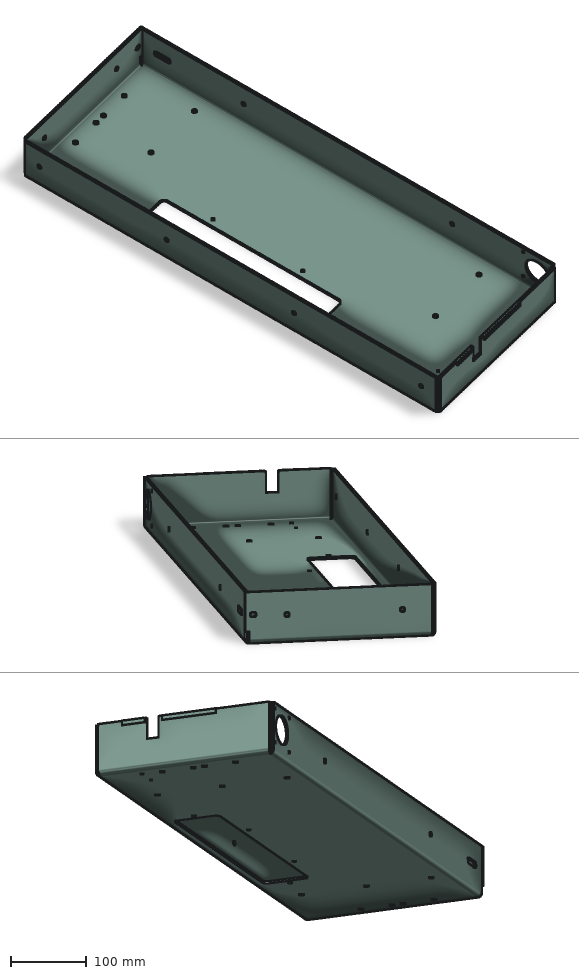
import cadquery as cq

overall_length = 698.0
width = 257.0
height = 71.0
sheet = 3.15
bend_radius = 7.0
corner_notch_x = 5.0
corner_notch_y = 5.25

pad_thickness = 1.05
pad_height = 6.0
pad_spans = [(-88.5, -56.0), (-31.0, 47.0)]

length = overall_length - pad_thickness
half_length = length / 2
half_width = width / 2

cable_notch_y = -45.0
cable_notch_width = 17.0
cable_notch_mouth_radius = 2.0
cable_notch_floor = 42.0

tab_bottom = 17.5

window_length = 300.0
window_width = 65.0
window_radius = 7.0
window_center = (-25.0, -79.5)

mount_diameter = 6.0
mount_x = 238.0
mount_pitch_y = 93.5
mount_center_y = 8.0
side_hole_x = 328.0
side_hole_center_y = 13.0
side_pair_pitch = 61.0
side_pair_spacing = 45.0
window_side_diameter = 5.25
window_side_clearance = 9.0
window_side_y = -79.0
window_back_diameter = 4.0
window_back_pitch = 150.0
window_back_y = -36.0
ground_holes = [(301.0, 3.0), (331.0, 4.0)]
ground_y = -68.0

wall_hole_diameter = 6.0
wall_hole_z = 38.5
front_hole_count = 4
front_hole_pitch = 213.0
back_hole_x = 174.5
end_hole_spacing = 156.0
end_hole_center_y = -5.5
tab_hole_length = 8.5
tab_hole_height = 6.0
tab_hole_from_back = 10.5
tab_hole_z = 40.5

slot_length = 28.0
slot_height = 8.5
slot_x = -310.5
fan_x = 317.0
fan_z = 40.0
fan_diameter = 40.0
fan_screw_pitch = 47.5
fan_screw_diameter = 3.5


def block(x_span, y_span, z_span):
    """Box between the given (low, high) limits along each axis."""
    size = [high - low for low, high in (x_span, y_span, z_span)]
    corner = (x_span[0], y_span[0], z_span[0])
    return cq.Workplane("XY").box(*size, centered=False).translate(corner)


def floor_holes(points, diameter):
    return cq.Workplane("XY").pushPoints(points).circle(diameter / 2).extrude(sheet)


def wall_y(side):
    """Sketch plane at the middle of the +Y or -Y wall, drawn in X and Z."""
    return cq.Workplane("XZ", origin=(0, side * (half_width - sheet / 2), 0))


def wall_x(side):
    """Sketch plane at the middle of the +X or -X wall, drawn in Y and Z."""
    return cq.Workplane("YZ", origin=(side * (half_length - sheet / 2), 0, 0))


def folded_tray():
    outside = cq.Workplane("XY").box(length, width, height, centered=(True, True, False))
    outside = outside.faces("<Z").edges().fillet(bend_radius)
    inside = (
        cq.Workplane("XY", origin=(0, 0, sheet))
        .box(length - 2 * sheet, width - 2 * sheet, height, centered=(True, True, False))
        .faces("<Z").edges().fillet(bend_radius - sheet)
    )
    notches = (
        cq.Workplane("XY")
        .rect(length - corner_notch_x, width - corner_notch_y, forConstruction=True)
        .vertices()
        .rect(corner_notch_x, corner_notch_y)
        .extrude(height)
    )
    return outside.cut(inside).cut(notches)


def overlap_tab():
    return block(
        (-half_length, -half_length + sheet),
        (half_width - 2 * corner_notch_y, half_width),
        (tab_bottom, height),
    )


def cut_floor(body):
    window = (
        cq.Workplane("XY").center(*window_center)
        .rect(window_length, window_width).extrude(sheet)
        .edges("|Z").fillet(window_radius)
    )
    mounts = [
        (x, mount_center_y + row * mount_pitch_y)
        for x in (-mount_x, mount_x) for row in (-1, 0, 1)
    ]
    side_holes = [
        (x, side_hole_center_y + pair * side_pair_pitch / 2 + hole * side_pair_spacing / 2)
        for x in (-side_hole_x, side_hole_x) for pair in (-1, 1) for hole in (-1, 1)
    ]
    window_side_x = window_length / 2 + window_side_clearance
    window_sides = [(window_center[0] + side * window_side_x, window_side_y) for side in (-1, 1)]
    window_backs = [
        (window_center[0] + side * window_back_pitch / 2, window_back_y) for side in (-1, 1)
    ]
    body = body.cut(window)
    body = body.cut(floor_holes(mounts + side_holes, mount_diameter))
    body = body.cut(floor_holes(window_sides, window_side_diameter))
    body = body.cut(floor_holes(window_backs, window_back_diameter))
    for x, diameter in ground_holes:
        body = body.cut(floor_holes([(x, ground_y)], diameter))
    return body


def cut_front_wall(body):
    first_x = -(front_hole_count - 1) * front_hole_pitch / 2
    points = [(first_x + i * front_hole_pitch, wall_hole_z) for i in range(front_hole_count)]
    holes = wall_y(-1).pushPoints(points).circle(wall_hole_diameter / 2)
    return body.cut(holes.extrude(sheet, both=True))


def cut_back_wall(body):
    points = [(-back_hole_x, wall_hole_z), (back_hole_x, wall_hole_z)]
    holes = wall_y(1).pushPoints(points).circle(wall_hole_diameter / 2)
    slot = wall_y(1).center(slot_x, wall_hole_z).slot2D(slot_length, slot_height)
    fan = wall_y(1).center(fan_x, fan_z).circle(fan_diameter / 2)
    screws = (
        wall_y(1).center(fan_x, fan_z)
        .rect(fan_screw_pitch, fan_screw_pitch, forConstruction=True)
        .vertices().circle(fan_screw_diameter / 2)
    )
    for outline in (holes, slot, fan, screws):
        body = body.cut(outline.extrude(sheet, both=True))
    return body


def cut_left_wall(body):
    points = [(end_hole_center_y + side * end_hole_spacing / 2, wall_hole_z) for side in (-1, 1)]
    holes = wall_x(-1).pushPoints(points).circle(wall_hole_diameter / 2)
    tab_hole = (
        wall_x(-1).center(half_width - tab_hole_from_back, tab_hole_z)
        .slot2D(tab_hole_length, tab_hole_height)
    )
    for outline in (holes, tab_hole):
        body = body.cut(outline.extrude(sheet, both=True))
    return body


def finish_right_wall(body):
    for span in pad_spans:
        x_span = (half_length - sheet, half_length + pad_thickness)
        body = body.union(block(x_span, span, (height - pad_height, height)))
    half_notch = cable_notch_width / 2
    notch = block(
        (half_length - 2 * sheet, half_length + 2 * pad_thickness),
        (cable_notch_y - half_notch, cable_notch_y + half_notch),
        (cable_notch_floor, height),
    )
    body = body.cut(notch)
    mouth_edges = cq.selectors.BoxSelector(
        (half_length - 2 * sheet, cable_notch_y - half_notch - sheet, height - sheet),
        (half_length + pad_thickness, cable_notch_y + half_notch + sheet, height + sheet),
    )
    return body.edges("|X").edges(mouth_edges).fillet(cable_notch_mouth_radius)


result = folded_tray().union(overlap_tab())
result = cut_floor(result)
result = cut_front_wall(result)
result = cut_back_wall(result)
result = cut_left_wall(result)
result = finish_right_wall(result)
result = result.translate((-pad_thickness / 2, 0, 0))